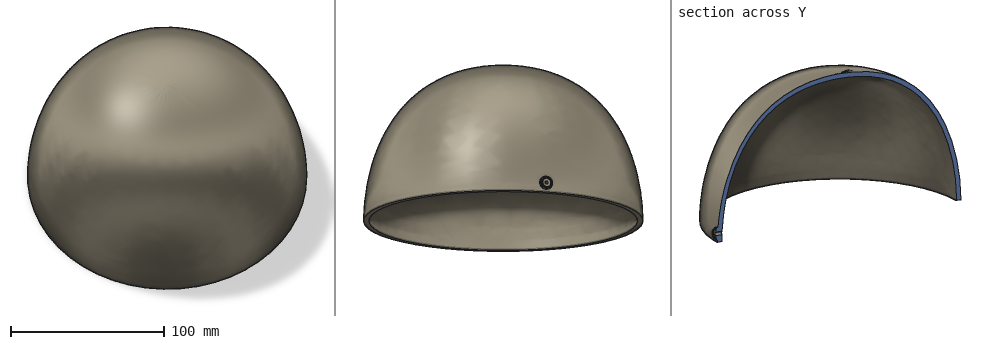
import cadquery as cq

rim_diameter = 182.2
height = 101.5
opening_diameter = 175.0
boss_reach = 93.0

rim_height = 0.7
crown_handle = 79.2
side_handle = 27.6

boss_height = 6.0
flange_diameter = 8.7
flange_reach = 91.7
boss_diameter = 7.0
boss_hole_diameter = 2.0
recess_diameter = 5.7
recess_depth = 0.7

rim_radius = rim_diameter / 2
opening_radius = opening_diameter / 2
wall = rim_radius - opening_radius
boss_root = (rim_radius + opening_radius) / 2


def dome(radius, top, inset):
    """Solid dome on a short upright rim; inset shortens both curve handles."""
    return (
        cq.Workplane("XZ")
        .lineTo(radius, 0)
        .lineTo(radius, rim_height)
        .bezier(
            [
                (radius, rim_height),
                (radius, rim_height + side_handle - inset),
                (crown_handle - inset, top),
                (0, top),
            ]
        )
        .close()
        .revolve(360, (0, 0, 0), (0, 1, 0))
    )


def side_rod(diameter, start, end):
    """Cylinder on the boss axis, between two distances out along -X."""
    return (
        cq.Workplane("YZ", origin=(-end, 0, boss_height))
        .circle(diameter / 2)
        .extrude(end - start)
    )


shell = dome(rim_radius, height, 0).cut(dome(opening_radius, height - wall, wall / 2))
flange = side_rod(flange_diameter, boss_root, flange_reach)
recess = side_rod(recess_diameter, boss_reach - recess_depth, boss_reach)
boss = side_rod(boss_diameter, boss_root, boss_reach)
through_hole = side_rod(boss_hole_diameter, opening_radius - wall, boss_reach)

result = shell.union(flange).union(boss).cut(recess).cut(through_hole)